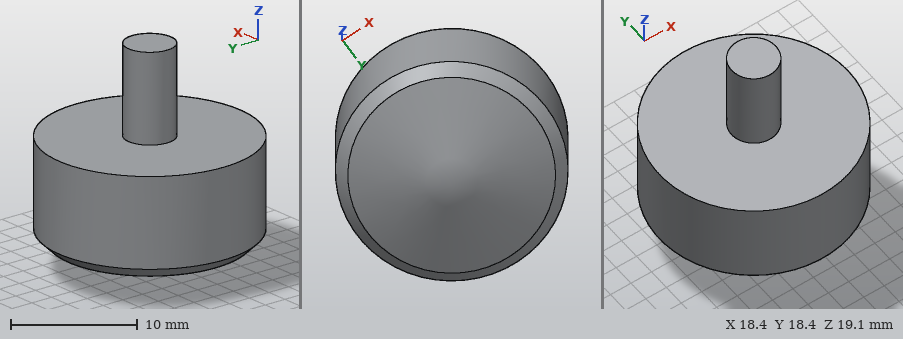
import cadquery as cq

total_height = 19.1
body_diameter = 18.4
pin_diameter = 4.3
pin_length = 7.83
body_length = 7.83
bevel_width = 1.0
bevel_height = 0.95

body_radius = body_diameter / 2
pin_radius = pin_diameter / 2
cone_radius = body_radius - bevel_width

body_top = total_height - pin_length
body_bottom = body_top - body_length
cone_top = body_bottom - bevel_height

half_profile = (
    cq.Workplane("XZ")
    .moveTo(0, 0)
    .lineTo(cone_radius, cone_top)
    .lineTo(body_radius, body_bottom)
    .lineTo(body_radius, body_top)
    .lineTo(pin_radius, body_top)
    .lineTo(pin_radius, total_height)
    .lineTo(0, total_height)
    .close()
)

result = half_profile.revolve(360, (0, 0, 0), (0, 1, 0))